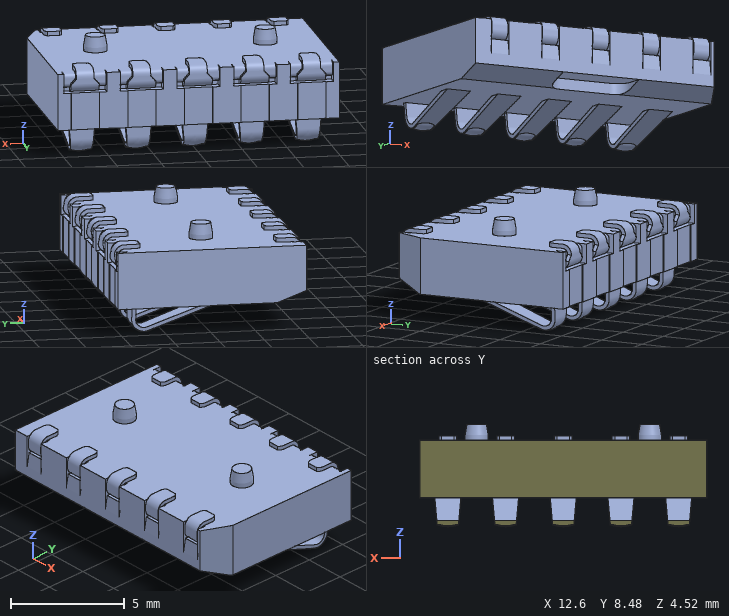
import cadquery as cq
import math

LENGTH = 12.62
DEPTH = 8.48
HEIGHT = 2.54
PITCH = 2.54
CONTACT_COUNT = 5
FRONT = -DEPTH / 2

SLOPE_DEPTH = 1.31
SLOPE_HEIGHT = 0.49
CORNER_X = 0.62
CORNER_Y = 1.39

RECESS_WIDTH = 1.5 * PITCH
RECESS_DEPTH = 1.44
RECESS_RADIUS = 0.63

PEG_SPACING = 3 * PITCH
PEG_HEIGHT = 0.7
PEG_BASE_HEIGHT = 0.21
PEG_BASE_DIAMETER = 1.03
PEG_TIP_DIAMETER = 0.87

METAL = 0.19
CLIP_WIDTH = 0.8
CLIP_REACH = 1.19
CLIP_SETBACK = 0.03
CLIP_BEND = 0.44
CLIP_CURL = 0.39
CLIP_STRAIGHT = 0.23
CLIP_EMBED = 0.13
TAB_ROUND_LENGTH = 0.27
TAB_ROUND_INSET = 0.13
SHOULDER_WIDTH = 1.26
SHOULDER_HEIGHT = 0.25

CLIP_TOP = HEIGHT + METAL
CLIP_BOTTOM = CLIP_TOP - CLIP_BEND - CLIP_STRAIGHT - CLIP_CURL

FRONT_SLOT_WIDTH = 0.9
REAR_SLOT_WIDTH = 1.93
RAMP_BOTTOM = 1.01
RAMP_DEPTH = 0.11
CHANNEL_DEPTH = 0.04

SPRING_REAR_GAP = 0.77
SPRING_DROP = 1.2
SPRING_BEND = 0.57
SPRING_ANGLE = math.radians(20)
SPRING_ROOT_WIDTH = 1.16
SPRING_TIP_WIDTH = 0.95
SPRING_EMBED = 0.25
CROWN_HEIGHT = 0.08
CROWN_WIDTH = 0.86
CROWN_OVERLAP = 0.08
CROWN_SWEEP_DEGREES = 150

contact_xs = [(i - (CONTACT_COUNT - 1) / 2) * PITCH for i in range(CONTACT_COUNT)]


def side_plane():
    """Sketch plane of side profiles: depth behind the front face, then height."""
    return cq.Workplane("YZ", origin=(0, FRONT, 0))


def block(width, depth_range, height_range):
    """Box centred on X, placed by its depths behind the front face and its heights."""
    size_y = depth_range[1] - depth_range[0]
    size_z = height_range[1] - height_range[0]
    box = cq.Workplane("XY").box(width, size_y, size_z, centered=(True, False, False))
    return box.translate((0, FRONT + depth_range[0], height_range[0]))


def at_contacts(shape):
    """Copy one shape to every contact position."""
    copies = cq.Workplane("XY")
    for x in contact_xs:
        copies = copies.add(shape.translate((x, 0, 0)))
    return copies.combine()


def to_rear(shape):
    return shape.mirror("XZ")


def make_housing():
    body = (
        side_plane()
        .moveTo(0, SLOPE_HEIGHT)
        .lineTo(SLOPE_DEPTH, 0)
        .lineTo(DEPTH, 0)
        .lineTo(DEPTH, HEIGHT)
        .lineTo(0, HEIGHT)
        .close()
        .extrude(LENGTH / 2, both=True)
    )
    corner = (
        cq.Workplane("XY")
        .moveTo(LENGTH / 2, FRONT)
        .lineTo(LENGTH / 2, FRONT + CORNER_Y)
        .lineTo(LENGTH / 2 - CORNER_X, FRONT)
        .close()
        .extrude(HEIGHT)
    )
    recess = block(RECESS_WIDTH, (0, RECESS_DEPTH), (0, SLOPE_HEIGHT))
    recess = recess.edges("|Z and >Y").fillet(RECESS_RADIUS)
    return body.cut(corner).cut(recess)


def make_peg():
    base_radius = PEG_BASE_DIAMETER / 2
    return (
        cq.Workplane("XZ")
        .lineTo(base_radius, 0)
        .lineTo(base_radius, PEG_BASE_HEIGHT)
        .lineTo(PEG_TIP_DIAMETER / 2, PEG_HEIGHT)
        .lineTo(0, PEG_HEIGHT)
        .close()
        .revolve(360, (0, 0), (0, 1))
        .translate((0, 0, HEIGHT))
    )


def make_strip(width):
    """Bent clip strip at the front: tab on top, bend down, curl back into the housing."""
    outer = CLIP_SETBACK
    inner = outer + METAL
    bend_z = CLIP_TOP - CLIP_BEND
    curl_z = CLIP_BOTTOM + CLIP_CURL
    curl_end = outer + CLIP_CURL + CLIP_EMBED
    return (
        side_plane()
        .moveTo(CLIP_REACH, CLIP_TOP)
        .lineTo(outer + CLIP_BEND, CLIP_TOP)
        .radiusArc((outer, bend_z), -CLIP_BEND)
        .lineTo(outer, curl_z)
        .radiusArc((outer + CLIP_CURL, CLIP_BOTTOM), -CLIP_CURL)
        .lineTo(curl_end, CLIP_BOTTOM)
        .lineTo(curl_end, CLIP_BOTTOM + METAL)
        .lineTo(outer + CLIP_CURL, CLIP_BOTTOM + METAL)
        .radiusArc((inner, curl_z), CLIP_CURL - METAL)
        .lineTo(inner, bend_z)
        .radiusArc((outer + CLIP_BEND, HEIGHT), CLIP_BEND - METAL)
        .lineTo(CLIP_REACH, HEIGHT)
        .close()
        .extrude(width / 2, both=True)
    )


def make_tab_outline():
    """Prism trimming the strip to the clip width with a rounded tab end."""
    half = CLIP_WIDTH / 2
    round_start = FRONT + CLIP_REACH - TAB_ROUND_LENGTH
    tab_end = FRONT + CLIP_REACH
    radius = (TAB_ROUND_LENGTH**2 + TAB_ROUND_INSET**2) / (2 * TAB_ROUND_INSET)
    return (
        cq.Workplane("XY")
        .moveTo(-half, FRONT)
        .lineTo(half, FRONT)
        .lineTo(half, round_start)
        .radiusArc((half - TAB_ROUND_INSET, tab_end), -radius)
        .lineTo(-half + TAB_ROUND_INSET, tab_end)
        .radiusArc((-half, round_start), -radius)
        .close()
        .extrude(CLIP_TOP)
    )


def make_clip():
    return make_strip(CLIP_WIDTH).intersect(make_tab_outline())


def make_shoulders():
    """Lower part of a rear clip, flaring from the clip width to the shoulder width."""
    flare_top = CLIP_TOP - CLIP_BEND
    flare = (
        cq.Workplane("XZ", origin=(0, FRONT, 0))
        .moveTo(-CLIP_WIDTH / 2, flare_top)
        .lineTo(CLIP_WIDTH / 2, flare_top)
        .lineTo(SHOULDER_WIDTH / 2, flare_top - SHOULDER_HEIGHT)
        .lineTo(SHOULDER_WIDTH / 2, CLIP_BOTTOM)
        .lineTo(-SHOULDER_WIDTH / 2, CLIP_BOTTOM)
        .lineTo(-SHOULDER_WIDTH / 2, flare_top - SHOULDER_HEIGHT)
        .close()
        .extrude(-CLIP_REACH)
    )
    return make_strip(SHOULDER_WIDTH).intersect(flare)


def make_slot(width):
    """Slot at the front edge, leaving the rounded core that the clip wraps around."""
    slot_depth = CLIP_SETBACK + CLIP_BEND
    pocket = block(width, (0, slot_depth), (CLIP_BOTTOM, HEIGHT))
    core = block(width, (CLIP_SETBACK + METAL, 2 * slot_depth), (CLIP_BOTTOM + METAL, HEIGHT))
    core = core.edges("|X and <Y and >Z").fillet(CLIP_BEND - METAL)
    core = core.edges("|X and <Y and <Z").fillet(CLIP_CURL - METAL)
    return pocket.cut(core)


def make_ramp():
    """Sloping floor below a front slot, running out at the front face."""
    return (
        side_plane()
        .moveTo(0, RAMP_BOTTOM)
        .lineTo(RAMP_DEPTH, CLIP_BOTTOM)
        .lineTo(0, CLIP_BOTTOM)
        .close()
        .extrude(FRONT_SLOT_WIDTH / 2, both=True)
    )


def make_spring():
    """Leg down near the rear, bend, and arm rising forward into the housing."""
    centre_z = SPRING_BEND - SPRING_DROP
    inner_bend = SPRING_BEND - METAL
    arm_angle = math.pi / 2 + SPRING_ANGLE
    mid_angle = arm_angle / 2

    def on_bend(radius, angle):
        return SPRING_BEND - radius * math.cos(angle), centre_z - radius * math.sin(angle)

    def arm_top(radius):
        y, z = on_bend(radius, arm_angle)
        return y + (SPRING_EMBED - z) / math.tan(SPRING_ANGLE), SPRING_EMBED

    strip = (
        cq.Workplane("YZ")
        .moveTo(0, SPRING_EMBED)
        .lineTo(0, centre_z)
        .threePointArc(on_bend(SPRING_BEND, mid_angle), on_bend(SPRING_BEND, arm_angle))
        .lineTo(*arm_top(SPRING_BEND))
        .lineTo(*arm_top(inner_bend))
        .lineTo(*on_bend(inner_bend, arm_angle))
        .threePointArc(on_bend(inner_bend, mid_angle), (METAL, centre_z))
        .lineTo(METAL, SPRING_EMBED)
        .close()
        .extrude(SPRING_ROOT_WIDTH, both=True)
        .mirror("XZ")
        .translate((0, DEPTH / 2 - SPRING_REAR_GAP, 0))
    )
    taper = (
        cq.Workplane("XZ", origin=(0, FRONT, 0))
        .moveTo(-SPRING_ROOT_WIDTH / 2, SPRING_EMBED)
        .lineTo(-SPRING_ROOT_WIDTH / 2, 0)
        .lineTo(-SPRING_TIP_WIDTH / 2, -SPRING_DROP)
        .lineTo(SPRING_TIP_WIDTH / 2, -SPRING_DROP)
        .lineTo(SPRING_ROOT_WIDTH / 2, 0)
        .lineTo(SPRING_ROOT_WIDTH / 2, SPRING_EMBED)
        .close()
        .extrude(-DEPTH)
    )
    return strip.intersect(taper)


def make_crown():
    """Arched contact surface swept around the outside of a spring bend, from leg to arm."""
    half = CROWN_WIDTH / 2
    outer_radius = SPRING_BEND + CROWN_HEIGHT
    base_radius = SPRING_BEND - CROWN_OVERLAP
    axis_y = DEPTH / 2 - SPRING_REAR_GAP - outer_radius
    axis_z = SPRING_BEND - SPRING_DROP
    return (
        cq.Workplane("XY")
        .moveTo(-half, base_radius)
        .lineTo(-half, SPRING_BEND)
        .threePointArc((0, outer_radius), (half, SPRING_BEND))
        .lineTo(half, base_radius)
        .close()
        .revolve(CROWN_SWEEP_DEGREES, (0, 0), (-1, 0))
        .translate((0, axis_y, axis_z))
    )


clip = make_clip()
front_slot = make_slot(FRONT_SLOT_WIDTH).union(make_ramp())
rear_channel = block(SHOULDER_WIDTH, (0, CHANNEL_DEPTH), (0, CLIP_BOTTOM))
rear_slot = to_rear(make_slot(REAR_SLOT_WIDTH).union(rear_channel))
rear_clip = to_rear(clip.union(make_shoulders()))

result = make_housing().cut(at_contacts(front_slot)).cut(at_contacts(rear_slot))
for part in (clip, rear_clip, make_spring(), make_crown()):
    result = result.union(at_contacts(part))
for peg_x in (-PEG_SPACING / 2, PEG_SPACING / 2):
    result = result.union(make_peg().translate((peg_x, 0, 0)))